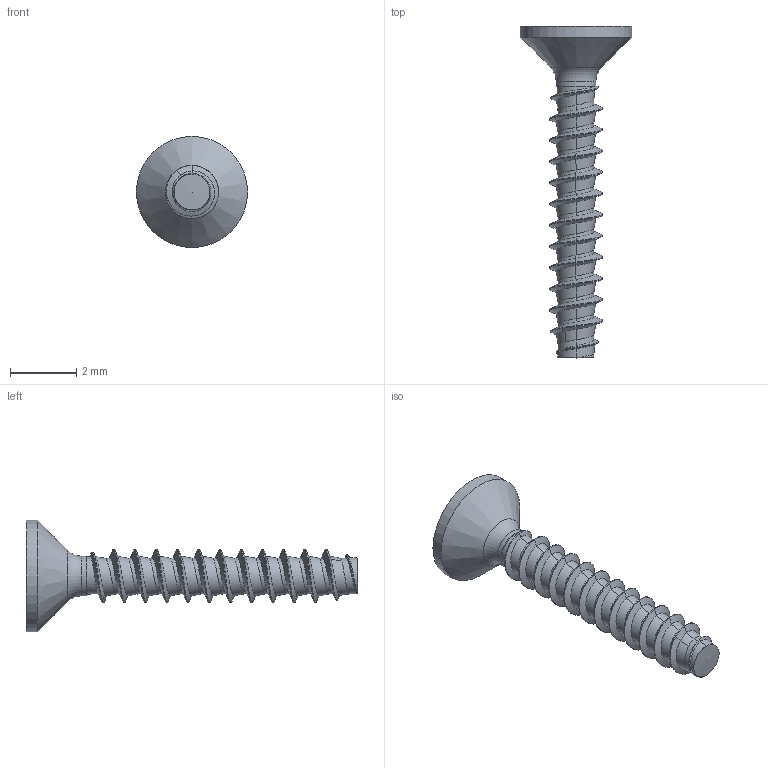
import math

import cadquery as cq


head_diameter = 3.35
head_radius = head_diameter / 2
rim_height = 0.344
neck_radius = 0.6
neck_fillet_radius = 0.6
neck_end_depth = 1.815
cone_half_angle = math.radians(45)

screw_length = 10.0
core_radius = 0.54
tip_rise = 0.02

crest_radius = 0.8
crest_width = 0.025
pitch = 0.64
flank_angle = math.radians(22)
ramp_end_offset = 0.49
thread_start_depth = 1.38
thread_end_depth = screw_length
taper_length = 0.9
buried_radius = 0.525
crest_depth_on_x = 1.84
points_per_turn = 12

collar_start_depth = crest_depth_on_x
collar_turns = 0.75
collar_end_depth = collar_start_depth + collar_turns * pitch
collar_overlap = 0.1


def point_on_screw(radius, crest_depth, offset):
    """Point at a radius and at an axial offset from the right-hand helix through the crest."""
    turn = 2 * math.pi * (crest_depth - crest_depth_on_x) / pitch
    return cq.Vector(radius * math.cos(turn), -(crest_depth + offset), radius * math.sin(turn))


def helical_ridge(section, start_depth, end_depth):
    """Solid swept along the helix; section(depth) lists its (radius, axial offset) corners."""
    steps = math.ceil((end_depth - start_depth) / pitch * points_per_turn)
    depths = [start_depth + (end_depth - start_depth) * i / steps for i in range(steps + 1)]
    rails = zip(*[[point_on_screw(r, d, o) for r, o in section(d)] for d in depths])
    edges = [cq.Edge.makeSpline(list(rail)) for rail in rails]
    faces = [cq.Face.makeRuledSurface(a, b) for a, b in zip(edges, edges[1:] + edges[:1])]
    for depth in (start_depth, end_depth):
        corners = [point_on_screw(r, depth, o) for r, o in section(depth)]
        faces.append(cq.Face.makeFromWires(cq.Wire.makePolygon(corners, close=True)))
    ridge = cq.Solid.makeSolid(cq.Shell.makeShell(faces))
    return cq.Workplane(ridge.fix())


def thread_section(depth):
    """Tooth and ramp, sunk into the core near both ends of the thread."""
    end_distance = min(depth - thread_start_depth, thread_end_depth - depth)
    fullness = min(1, end_distance / taper_length)
    crest = core_radius + fullness * (crest_radius - core_radius)
    ramp = core_radius + fullness * (neck_radius - core_radius)

    def flank_offset(radius):
        return crest_width / 2 + (crest - radius) * math.tan(flank_angle)

    return [
        (buried_radius, -flank_offset(buried_radius)),
        (crest, -crest_width / 2),
        (crest, crest_width / 2),
        (ramp, flank_offset(ramp)),
        (buried_radius, ramp_end_offset),
    ]


def collar_section(depth):
    """Fills from the neck to the tooth, shrinking from the neck radius to the core radius."""
    fade = (depth - collar_start_depth) / (collar_end_depth - collar_start_depth)
    outer = neck_radius + fade * (core_radius - neck_radius)
    neck_side = neck_end_depth - collar_overlap - depth
    return [(buried_radius, neck_side), (outer, neck_side), (outer, 0), (buried_radius, 0)]


def make_body():
    """Head, filleted neck, core and tip as one revolved outline."""
    fillet_width = neck_fillet_radius * (1 - math.cos(cone_half_angle))
    cone_end_radius = neck_radius + fillet_width
    cone_end_depth = rim_height + (head_radius - cone_end_radius) / math.tan(cone_half_angle)
    fillet_end_depth = cone_end_depth + neck_fillet_radius * math.sin(cone_half_angle)
    mid_angle = cone_half_angle / 2
    fillet_mid = (
        neck_radius + neck_fillet_radius * (1 - math.cos(mid_angle)),
        -(fillet_end_depth - neck_fillet_radius * math.sin(mid_angle)),
    )
    return (
        cq.Workplane("ZY")
        .lineTo(head_radius, 0)
        .lineTo(head_radius, -rim_height)
        .lineTo(cone_end_radius, -cone_end_depth)
        .threePointArc(fillet_mid, (neck_radius, -fillet_end_depth))
        .lineTo(neck_radius, -neck_end_depth)
        .lineTo(core_radius, -neck_end_depth)
        .lineTo(core_radius, -(screw_length - tip_rise))
        .lineTo(0, -screw_length)
        .close()
        .revolve(360, (0, 0, 0), (0, 1, 0))
    )


def make_thread_segments():
    """Thread pieces of at most one turn, trimmed square at the neck and at the rim of the tip."""
    trim_length = screw_length - tip_rise - neck_end_depth
    trim = (
        cq.Workplane("XZ", origin=(0, -neck_end_depth, 0))
        .circle(head_radius)
        .extrude(trim_length)
    )
    full_start = thread_start_depth + taper_length
    full_end = thread_end_depth - taper_length
    first_cut = crest_depth_on_x + pitch / 4
    turns = math.ceil((thread_end_depth - first_cut) / pitch)
    turn_cuts = [first_cut + i * pitch for i in range(turns)]
    cuts = sorted([thread_start_depth, full_start, full_end, thread_end_depth] + turn_cuts)
    return [
        helical_ridge(thread_section, start, end).intersect(trim).val()
        for start, end in zip(cuts, cuts[1:])
    ]


collar = helical_ridge(collar_section, collar_start_depth, collar_end_depth).val()
screw = make_body().val().fuse(collar, *make_thread_segments())
result = cq.Workplane(screw.Solids()[0])